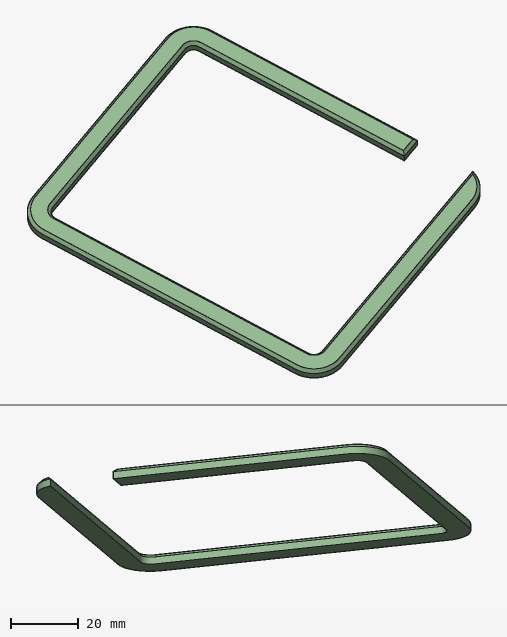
import cadquery as cq

length = 109.6
depth = 90.2
thickness = 3.2

bar_width = 7.0
outer_radius = 10.0
inner_radius = outer_radius - bar_width
top_chamfer = 1.0

bar_end_from_left = 82.8
bar_end = bar_end_from_left - length / 2
opening_end = length / 2 - bar_width
opening_width = opening_end - bar_end


def rounded_plate(size_x, size_y, corner_radius):
    """Flat plate with rounded vertical corners, resting on Z = 0."""
    plate = cq.Workplane("XY").rect(size_x, size_y).extrude(thickness)
    return plate.edges("|Z").fillet(corner_radius)


outer_plate = rounded_plate(length, depth, outer_radius)
window = rounded_plate(length - 2 * bar_width, depth - 2 * bar_width, inner_radius)
frame = outer_plate.cut(window)

opening_depth = bar_width + inner_radius
opening = (
    cq.Workplane("XY")
    .center(bar_end + opening_width / 2, depth / 2 - opening_depth / 2)
    .rect(opening_width, opening_depth)
    .extrude(thickness)
)
open_frame = frame.cut(opening)

result = open_frame.faces(">Z").edges().chamfer(top_chamfer)